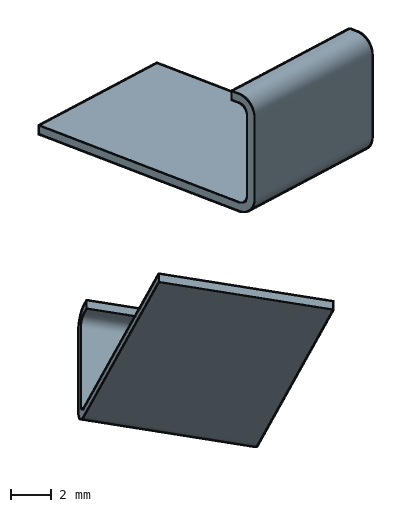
import cadquery as cq
import math

length = 14.0
width = 9.0
height = 6.5
thickness = 0.5
inner_radius = 0.5
lip_flat = 0.5

outer_radius = inner_radius + thickness
bend_x = length - outer_radius
lower_bend_z = outer_radius
upper_bend_z = height - outer_radius
wall_inner_x = length - thickness
lip_end_x = bend_x - lip_flat


def bend_midpoint(center_z, radius, side):
    """Point halfway round a quarter bend; side is +1 for the upper bend, -1 for the lower."""
    offset = radius * math.sqrt(0.5)
    return (bend_x + offset, center_z + side * offset)


def bent_sheet():
    """Base, upright wall and inward lip, extruded across the width."""
    profile = (
        cq.Workplane("XZ")
        .moveTo(0, 0)
        .lineTo(bend_x, 0)
        .threePointArc(bend_midpoint(lower_bend_z, outer_radius, -1), (length, lower_bend_z))
        .lineTo(length, upper_bend_z)
        .threePointArc(bend_midpoint(upper_bend_z, outer_radius, 1), (bend_x, height))
        .lineTo(lip_end_x, height)
        .lineTo(lip_end_x, height - thickness)
        .lineTo(bend_x, height - thickness)
        .threePointArc(bend_midpoint(upper_bend_z, inner_radius, 1), (wall_inner_x, upper_bend_z))
        .lineTo(wall_inner_x, lower_bend_z)
        .threePointArc(bend_midpoint(lower_bend_z, inner_radius, -1), (bend_x, thickness))
        .lineTo(0, thickness)
        .close()
    )
    return profile.extrude(width / 2, both=True)


result = bent_sheet()